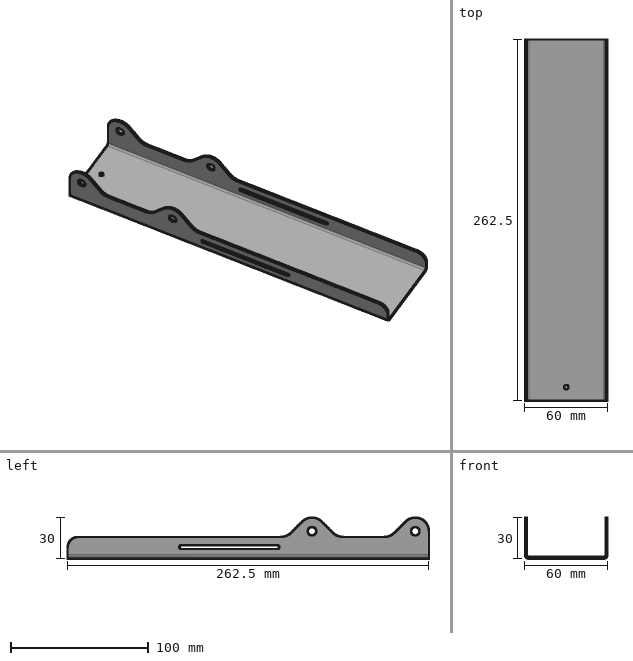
import cadquery as cq
import math

quarter_mid = math.cos(math.pi / 4)

width = 60.0
length = 262.5
thickness = 1.5
bend_inner_radius = 1.5
bend_outer_radius = bend_inner_radius + thickness
wall_height = 16.0
back_corner_radius = 8.0

lug_radius = 10.0
lug_hole_diameter = 6.0
lug_center_z = 20.0
lug_spacing = 75.0
front_lug_y = lug_radius
rear_lug_y = front_lug_y + lug_spacing
lug_height = lug_center_z + lug_radius
lug_flank_angle = math.radians(45.0)
lug_root_radius = 10.0

slot_width = 2.5
slot_end_spacing = 70.0
slot_length = slot_end_spacing + slot_width
slot_center_y = 145.0
slot_center_z = 8.5

floor_hole_diameter = 3.0
floor_hole_y = 10.0


def lug_flank(side, lug_y):
    """Named (y, z) points of one lug flank, crown to wall edge; side is +1 toward +Y or -1 toward -Y."""
    sin_a = math.sin(lug_flank_angle)
    cos_a = math.cos(lug_flank_angle)
    half_sin = math.sin(lug_flank_angle / 2)
    half_cos = math.cos(lug_flank_angle / 2)
    crown_end_z = lug_center_z + lug_radius * cos_a
    root_start_z = wall_height + lug_root_radius * (1 - cos_a)
    root_start = lug_radius * sin_a + (crown_end_z - root_start_z) / math.tan(lug_flank_angle)
    root_end = root_start + lug_root_radius * sin_a
    offsets = {
        "crown_mid": (lug_radius * half_sin, lug_center_z + lug_radius * half_cos),
        "crown_end": (lug_radius * sin_a, crown_end_z),
        "root_start": (root_start, root_start_z),
        "root_mid": (root_end - lug_root_radius * half_sin, wall_height + lug_root_radius * (1 - half_cos)),
        "root_end": (root_end, wall_height),
    }
    return {name: (lug_y + side * offset, z) for name, (offset, z) in offsets.items()}


def channel():
    """U-shaped sheet with rounded bends, open at the top, running along Y."""
    outer = (
        cq.Workplane("XY")
        .box(width, length, lug_height, centered=(True, False, False))
        .edges("|Y and <Z")
        .fillet(bend_outer_radius)
    )
    inner = (
        cq.Workplane("XY")
        .workplane(offset=thickness)
        .box(width - 2 * thickness, length, lug_height, centered=(True, False, False))
        .edges("|Y and <Z")
        .fillet(bend_inner_radius)
    )
    return outer.cut(inner)


def side_profile():
    """Solid spanning the full width, with the side outline of the walls and their lugs."""
    front = lug_flank(1, front_lug_y)
    rear_near = lug_flank(-1, rear_lug_y)
    rear_far = lug_flank(1, rear_lug_y)
    corner_inset = back_corner_radius * (1 - quarter_mid)
    back_corner_mid = (length - corner_inset, wall_height - corner_inset)
    nose_offset = lug_radius * quarter_mid
    nose_mid = (front_lug_y - nose_offset, lug_center_z + nose_offset)
    return (
        cq.Workplane("YZ")
        .moveTo(0, 0)
        .lineTo(0, lug_center_z)
        .threePointArc(nose_mid, (front_lug_y, lug_height))
        .threePointArc(front["crown_mid"], front["crown_end"])
        .lineTo(*front["root_start"])
        .threePointArc(front["root_mid"], front["root_end"])
        .lineTo(*rear_near["root_end"])
        .threePointArc(rear_near["root_mid"], rear_near["root_start"])
        .lineTo(*rear_near["crown_end"])
        .threePointArc((rear_lug_y, lug_height), rear_far["crown_end"])
        .lineTo(*rear_far["root_start"])
        .threePointArc(rear_far["root_mid"], rear_far["root_end"])
        .lineTo(length - back_corner_radius, wall_height)
        .threePointArc(back_corner_mid, (length, wall_height - back_corner_radius))
        .lineTo(length, 0)
        .close()
        .extrude(width / 2, both=True)
    )


def wall_openings():
    """Lug holes and slots, each passing through both side walls."""
    lug_holes = (
        cq.Workplane("YZ")
        .pushPoints([(front_lug_y, lug_center_z), (rear_lug_y, lug_center_z)])
        .circle(lug_hole_diameter / 2)
        .extrude(width, both=True)
    )
    slot = (
        cq.Workplane("YZ")
        .center(slot_center_y, slot_center_z)
        .slot2D(slot_length, slot_width)
        .extrude(width, both=True)
    )
    return lug_holes.union(slot)


def floor_hole():
    """Round hole through the floor near the front end."""
    return (
        cq.Workplane("XY")
        .center(0, floor_hole_y)
        .circle(floor_hole_diameter / 2)
        .extrude(thickness)
    )


result = channel().intersect(side_profile()).cut(wall_openings()).cut(floor_hole())